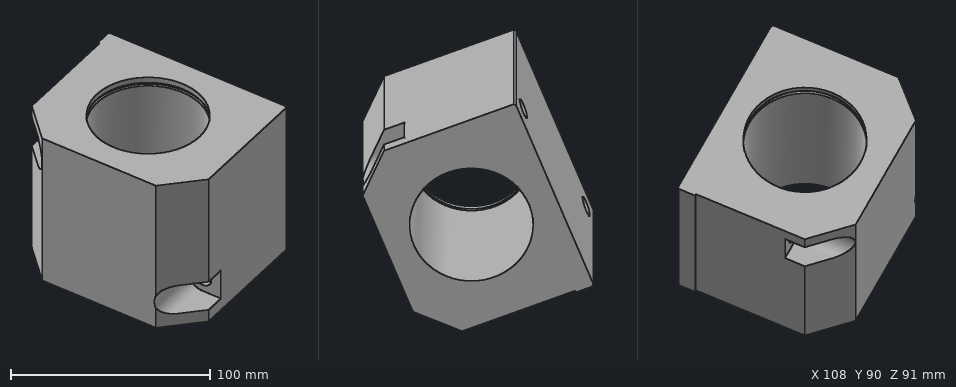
import cadquery as cq

WIDTH = 108.0
DEPTH = 90.0
HEIGHT = 91.0

LOCATING_STEP = 1.0
LOCATING_LENGTH = 10.0
REAR_CHAMFER = 1.0
FRONT_CHAMFER = 19.1

BORE_DIAMETER = 62.0
GROOVE_DIAMETER = 65.0
GROOVE_DEPTH = 3.3
GROOVE_WIDTH = 2.2
BORE_X = WIDTH / 2
BORE_Y = DEPTH / 2

BOLT_DIAMETER = 10.3
POCKET_RADIUS = 9.0
POCKET_DEPTH = 30.1
BOLT_SIDE_INSET = 11.0
BOLT_END_INSET = 16.5


def block():
    side = LOCATING_STEP
    outline = [
        (side + FRONT_CHAMFER, 0),
        (WIDTH - FRONT_CHAMFER, 0),
        (WIDTH, FRONT_CHAMFER),
        (WIDTH, DEPTH - REAR_CHAMFER),
        (WIDTH - REAR_CHAMFER, DEPTH),
        (REAR_CHAMFER, DEPTH),
        (0, DEPTH - REAR_CHAMFER),
        (0, DEPTH - LOCATING_LENGTH),
        (side, DEPTH - LOCATING_LENGTH),
        (side, FRONT_CHAMFER),
    ]
    return cq.Workplane("XY").polyline(outline).close().extrude(HEIGHT)


def vertical_cylinder(diameter, bottom, height):
    return (
        cq.Workplane("XY", origin=(BORE_X, BORE_Y, bottom))
        .circle(diameter / 2)
        .extrude(height)
    )


def bolt_cut(x, z, outward):
    """Through hole and pocket; outward is -1 for the left side, +1 for the right."""
    front = cq.Workplane("XZ", origin=(x, 0, z))
    hole = front.circle(BOLT_DIAMETER / 2).extrude(-DEPTH)
    round_end = front.circle(POCKET_RADIUS).extrude(-POCKET_DEPTH)
    run_out = 2 * BOLT_SIDE_INSET
    side_opening = (
        front.center(outward * run_out / 2, 0)
        .rect(run_out, 2 * POCKET_RADIUS)
        .extrude(-POCKET_DEPTH)
    )
    return hole.union(round_end).union(side_opening)


result = block()
result = result.cut(vertical_cylinder(BORE_DIAMETER, 0, HEIGHT))
groove_bottom = HEIGHT - GROOVE_DEPTH - GROOVE_WIDTH
result = result.cut(vertical_cylinder(GROOVE_DIAMETER, groove_bottom, GROOVE_WIDTH))

bolts = [
    (BOLT_SIDE_INSET, HEIGHT - BOLT_END_INSET, -1),
    (WIDTH - BOLT_SIDE_INSET, BOLT_END_INSET, 1),
]
for bolt_x, bolt_z, outward in bolts:
    result = result.cut(bolt_cut(bolt_x, bolt_z, outward))